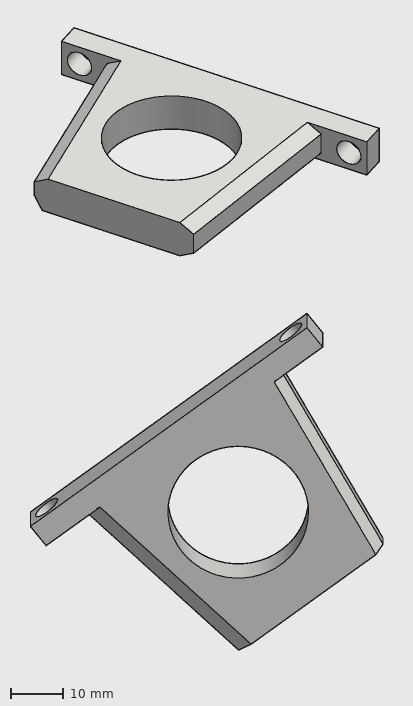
import cadquery as cq
import math

flange_length = 67.0
flange_thickness = 5.0
thickness = 8.0

total_depth = 45.0
root_width = 47.0
tip_width = 35.0

bevel_long = 3.0
bevel_angle = 30.0
bevel_short = bevel_long * math.tan(math.radians(bevel_angle))

bore_diameter = 27.0
bore_from_back = 22.0
screw_diameter = 5.3
screw_from_end = 3.95

back_y = bore_from_back
flange_front_y = back_y - flange_thickness
tip_y = back_y - total_depth


def make_flange():
    """Rectangular bar that carries the screw holes."""
    flange_center_y = (back_y + flange_front_y) / 2
    return (
        cq.Workplane("XY")
        .center(0, flange_center_y)
        .rect(flange_length, flange_thickness)
        .extrude(thickness)
    )


def plate_section(y, width):
    """Wire of the bevelled plate cross-section at the given Y.

    Three bevels are wide and shallow; the lower -X one is narrow and tall.
    """
    plate_length = flange_front_y - tip_y
    side_angle = math.atan((root_width - tip_width) / 2 / plate_length)
    wide = bevel_long / math.cos(side_angle)
    narrow = bevel_short / math.cos(side_angle)
    half = width / 2
    corners = [
        (-half + narrow, 0),
        (half - wide, 0),
        (half, bevel_short),
        (half, thickness - bevel_short),
        (half - wide, thickness),
        (-half + wide, thickness),
        (-half, thickness - bevel_short),
        (-half, bevel_long),
    ]
    return cq.Wire.makePolygon([cq.Vector(x, y, z) for x, z in corners], close=True)


def make_plate():
    """Plate that narrows from the flange to the tip, with bevelled long edges."""
    sections = [
        plate_section(flange_front_y, root_width),
        plate_section(tip_y, tip_width),
    ]
    return cq.Workplane(obj=cq.Solid.makeLoft(sections, True))


def make_bore():
    """Large vertical hole through the plate."""
    return cq.Workplane("XY").circle(bore_diameter / 2).extrude(thickness)


def make_screw_holes():
    """Pair of holes along Y, one near each end of the flange."""
    screw_x = flange_length / 2 - screw_from_end
    return (
        cq.Workplane("XZ", origin=(0, back_y, thickness / 2))
        .pushPoints([(-screw_x, 0), (screw_x, 0)])
        .circle(screw_diameter / 2)
        .extrude(flange_thickness)
    )


body = make_flange().union(make_plate())
result = body.cut(make_bore()).cut(make_screw_holes())